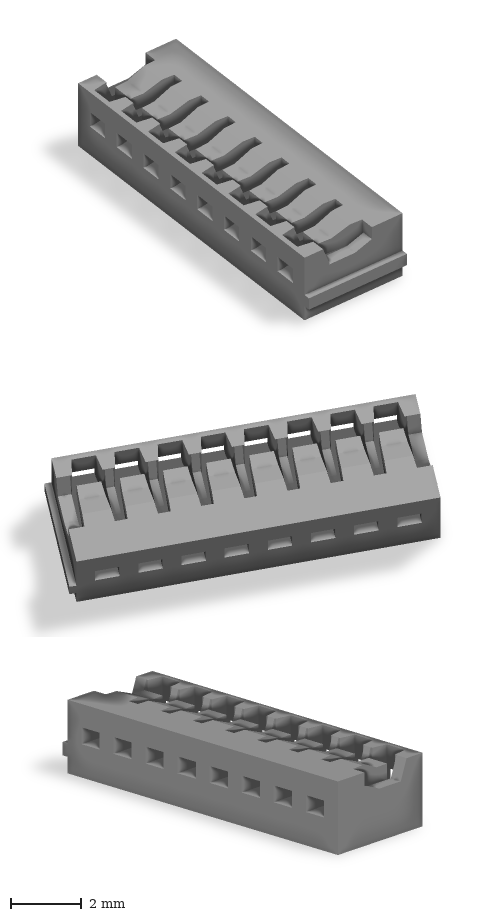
import cadquery as cq

overall_length = 10.75
depth = 3.5
height = 2.2
rib_reach = 0.2
body_length = overall_length - rib_reach

rib_bottom = 0.49
rib_top = 0.89

cell_count = 8
row_span = 8.75
pitch = row_span / (cell_count - 1)
first_cell_x = (body_length - row_span) / 2

tunnel_width = 0.71
tunnel_floor = 1.0
tunnel_roof = 1.5

rail_width = 0.67
rail_foot_y = 0.9
pocket_front_y = 0.16

trough_back_y = depth - 1.1
ledge_ramp_top = height - 0.42
ledge_ramp_front_y = depth - 1.7
ledge_z = height - 0.63

tongue_ramp_back_y = depth - 1.52
tongue_ramp_front_y = depth - 2.15
tongue_tip_y = rail_foot_y
tongue_flat_z = height - 0.23
tongue_root_width = 0.88
slot_width = 1.01


def side_profile(points, x_start, length):
    """Extrude a closed (Y, Z) outline along +X from x_start."""
    return cq.Workplane("YZ").polyline(points).close().extrude(length).translate((x_start, 0, 0))


def tapered_block(x, narrow_y, wide_y, z_bottom, z_top):
    """Upright block whose plan widens from the tunnel width to the tongue root width."""
    narrow = tunnel_width / 2
    wide = tongue_root_width / 2
    outline = [(x - narrow, narrow_y), (x + narrow, narrow_y), (x + wide, wide_y), (x - wide, wide_y)]
    return cq.Workplane("XY").workplane(offset=z_bottom).polyline(outline).close().extrude(z_top - z_bottom)


def box_between(x_center, width, y_start, y_end, z_bottom, z_top):
    """Box centred on x_center in X, between the given limits in Y and Z."""
    block = cq.Workplane("XY").box(width, y_end - y_start, z_top - z_bottom, centered=(True, False, False))
    return block.translate((x_center, y_start, z_bottom))


def make_body():
    body = cq.Workplane("XY").box(body_length, depth, height, centered=False)
    rib_center_x = body_length + rib_reach / 2
    return body.union(box_between(rib_center_x, rib_reach, 0, depth, rib_bottom, rib_top))


def make_trough():
    outline = [
        (rail_width, height),
        (rail_foot_y, ledge_z),
        (ledge_ramp_front_y, ledge_z),
        (trough_back_y, ledge_ramp_top),
        (trough_back_y, height),
    ]
    return side_profile(outline, 0, body_length)


def make_tongue(x):
    """Tapered tongue whose top ramps down to a flat tip."""
    tongue = tapered_block(x, tongue_tip_y, trough_back_y, tunnel_roof, height)
    above_tip = [
        (tongue_tip_y, height),
        (tongue_tip_y, tongue_flat_z),
        (tongue_ramp_front_y, tongue_flat_z),
        (tongue_ramp_back_y, height),
    ]
    return tongue.cut(side_profile(above_tip, x - slot_width / 2, slot_width))


def cut_cell(body, x):
    """Open one contact cell and leave its tongue standing over the tunnel."""
    slot = box_between(x, slot_width, rail_width, trough_back_y, tunnel_floor, height)
    pocket = tapered_block(x, pocket_front_y, rail_width, tunnel_floor, height)
    tunnel = box_between(x, tunnel_width, 0, depth, tunnel_floor, tunnel_roof)
    return body.cut(slot).cut(pocket).union(make_tongue(x)).cut(tunnel)


result = make_body().cut(make_trough())
for index in range(cell_count):
    result = cut_cell(result, first_cell_x + index * pitch)